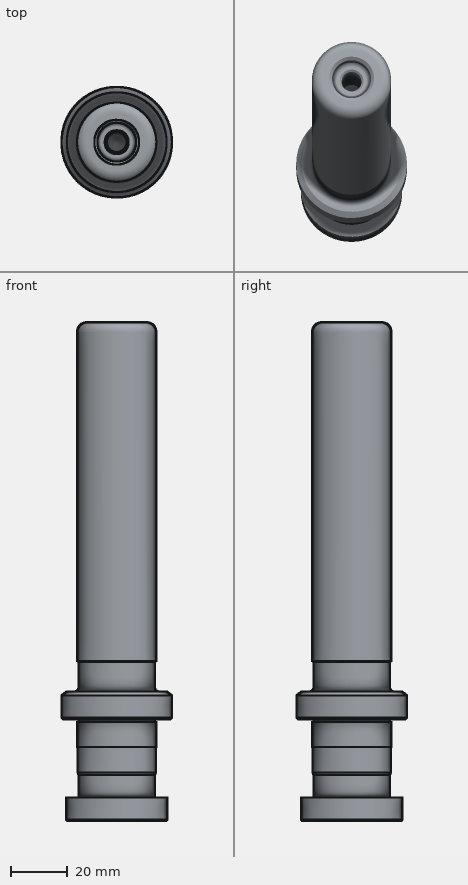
import cadquery as cq

total_height = 176.0
pin_radius = 28.0 / 2
neck_radius = 27.1 / 2

disc_radius = 35.7 / 2
disc_height = 8.5
disc_chamfer = 0.5
base_height = 16.4

pin_bottom = base_height
pin_end_chamfer_height = 0.9
pin_end_chamfer_width = pin_radius - neck_radius
lead_in_top = 26.2
lead_in_relief = 0.09
lead_in_radius = pin_radius - lead_in_relief
undercut_height = 0.9
collar_radius = 39.0 / 2
collar_bottom = 35.9
collar_height = 9.9
collar_top = collar_bottom + collar_height
collar_bottom_chamfer = 0.7
collar_top_chamfer_width = 2.0
collar_top_chamfer_height = 1.4
neck_fillet = 1.2
shaft_bottom = 56.1
shaft_end_chamfer = pin_radius - neck_radius
nose_fillet = 3.5

mouth_radius = 8.0
recess_radius = 6.9
mouth_chamfer_depth = 1.0
recess_depth = 4.2
bore_mouth_radius = 4.2
bore_radius = 3.5
bore_chamfer_depth = bore_mouth_radius - bore_radius
bore_depth = 24.6
bore_tip_height = 2.1


def revolve_about_z(profile):
    """Turn a closed profile, drawn as (radius, height) on XZ, about the Z axis."""
    return profile.close().revolve(360, (0, 0, 0), (0, 1, 0))


def make_base_flange():
    disc = cq.Workplane("XY").circle(disc_radius).extrude(disc_height)
    disc = disc.faces("<Z").chamfer(disc_chamfer)
    neck = cq.Workplane("XY").circle(neck_radius).extrude(base_height)
    return disc.union(neck)


def make_pin_blank():
    undercut_bottom = collar_bottom - undercut_height
    profile = (
        cq.Workplane("XZ")
        .moveTo(0, pin_bottom)
        .lineTo(lead_in_radius - pin_end_chamfer_width, pin_bottom)
        .lineTo(lead_in_radius, pin_bottom + pin_end_chamfer_height)
        .lineTo(lead_in_radius, lead_in_top)
        .lineTo(pin_radius, lead_in_top)
        .lineTo(pin_radius, undercut_bottom)
        .lineTo(neck_radius, undercut_bottom)
        .lineTo(neck_radius, collar_bottom)
        .lineTo(collar_radius - collar_bottom_chamfer, collar_bottom)
        .lineTo(collar_radius, collar_bottom + collar_bottom_chamfer)
        .lineTo(collar_radius, collar_top - collar_top_chamfer_height)
        .lineTo(collar_radius - collar_top_chamfer_width, collar_top)
        .lineTo(neck_radius + neck_fillet, collar_top)
        .radiusArc((neck_radius, collar_top + neck_fillet), neck_fillet)
        .lineTo(neck_radius, shaft_bottom)
        .lineTo(pin_radius, shaft_bottom + shaft_end_chamfer)
        .lineTo(pin_radius, total_height - nose_fillet)
        .radiusArc((pin_radius - nose_fillet, total_height), -nose_fillet)
        .lineTo(0, total_height)
    )
    return revolve_about_z(profile)


def make_top_hole():
    recess_floor = total_height - recess_depth
    bore_bottom = total_height - bore_depth
    profile = (
        cq.Workplane("XZ")
        .moveTo(0, total_height)
        .lineTo(mouth_radius, total_height)
        .lineTo(recess_radius, total_height - mouth_chamfer_depth)
        .lineTo(recess_radius, recess_floor)
        .lineTo(bore_mouth_radius, recess_floor)
        .lineTo(bore_radius, recess_floor - bore_chamfer_depth)
        .lineTo(bore_radius, bore_bottom)
        .lineTo(0, bore_bottom - bore_tip_height)
    )
    return revolve_about_z(profile)


base_flange = make_base_flange()
guide_pin = make_pin_blank().cut(make_top_hole())

result = cq.Compound.makeCompound([base_flange.val(), guide_pin.val()])